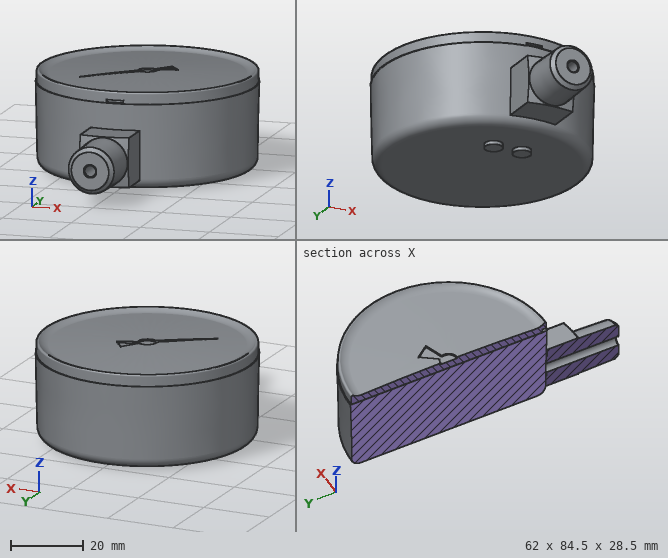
import cadquery as cq
import math

overall_length = 84.5

case_radius = 31.0
case_floor_radius = 30.5
case_height = 24.1
floor_fillet = 2.8

boss_diameter = 5.2
boss_height = 1.1
boss_y = -14.95

window_top = 27.4
window_radius = 30.8
rim_round = 0.5
dial_radius = 27.55
dial_edge_depth = 1.0
dome_rise = 0.7

notch_width = 5.0
notch_height = 0.9
notch_depth = 1.3

pointer_angle = 37
pointer_depth = 0.5
pointer_hub_radius = 2.5
pointer_tip_length = 19.9
pointer_tail_length = 8.1
pointer_root_half_width = 0.8
pointer_tail_half_width = 2.45

fitting_z = 9.6
block_width = 14.1
block_end = 40.7
block_chamfer_angle = 15
neck_radius = 6.85
neck_end = 43.0
spigot_end_radius = 6.6
spigot_length = overall_length - case_radius
spigot_chamfer = 1.2
bore_diameter = 3.2
bore_chamfer = 0.25


def make_drum():
    """Drafted round drum with a rounded floor edge."""
    profile = (
        cq.Workplane("XZ")
        .polyline([(0, 0), (case_floor_radius, 0), (case_radius, case_height), (0, case_height)])
        .close()
    )
    return profile.revolve(360, (0, 0), (0, 1)).faces("<Z").edges().fillet(floor_fillet)


def make_case():
    """Drum with two round bosses under its floor, level with the sides of the fitting block."""
    boss_x = (block_width - boss_diameter) / 2
    bosses = (
        cq.Workplane("XY")
        .pushPoints([(-boss_x, boss_y), (boss_x, boss_y)])
        .circle(boss_diameter / 2)
        .extrude(-boss_height)
    )
    return make_drum().union(bosses)


def make_pointer_cutter():
    """Pointer shape: round hub, needle and flared tail, reaching up to the rim level."""
    dome_top = window_top - dial_edge_depth + dome_rise
    cut_height = window_top - dome_top + pointer_depth
    level = cq.Workplane("XY").workplane(offset=dome_top - pointer_depth)
    blade = level.polyline([
        (-pointer_tip_length, 0),
        (-pointer_hub_radius, pointer_root_half_width),
        (pointer_hub_radius, pointer_root_half_width),
        (pointer_tail_length, pointer_tail_half_width),
        (pointer_tail_length, -pointer_tail_half_width),
        (pointer_hub_radius, -pointer_root_half_width),
        (-pointer_hub_radius, -pointer_root_half_width),
    ]).close().extrude(cut_height)
    hub = level.circle(pointer_hub_radius).extrude(cut_height)
    return blade.union(hub).rotate((0, 0, 0), (0, 0, 1), pointer_angle)


def make_notch_cutter():
    """Pry notch at the foot of the window wall, on the -Y side above the fitting."""
    return (
        cq.Workplane("XY")
        .box(notch_width, 2 * notch_depth, notch_height, centered=(True, True, False))
        .translate((0, -window_radius, case_height))
    )


def level_arc_radius(width, height):
    """Radius of an arc that is level at one end and spans the given width and height."""
    return (width**2 + height**2) / (2 * height)


def make_window():
    """Cap with a domed face, a hollow sweep up to the rounded rim, an engraved pointer and a pry notch."""
    dial_edge_z = window_top - dial_edge_depth
    rim_inner_radius = window_radius - rim_round * (1 + math.sqrt(0.5))
    rim_inner_z = window_top - rim_round * (1 - math.sqrt(0.5))
    sweep_radius = level_arc_radius(rim_inner_radius - dial_radius, rim_inner_z - dial_edge_z)
    dome_radius = level_arc_radius(dial_radius, dome_rise)
    half_angle = math.asin(dial_radius / dome_radius) / 2
    dome_mid = (
        dome_radius * math.sin(half_angle),
        dial_edge_z + dome_rise - dome_radius * (1 - math.cos(half_angle)),
    )
    window = (
        cq.Workplane("XZ")
        .moveTo(0, case_height)
        .lineTo(window_radius, case_height)
        .lineTo(window_radius, window_top - rim_round)
        .threePointArc((window_radius - rim_round, window_top), (rim_inner_radius, rim_inner_z))
        .radiusArc((dial_radius, dial_edge_z), sweep_radius)
        .threePointArc(dome_mid, (0, dial_edge_z + dome_rise))
        .close()
        .revolve(360, (0, 0), (0, 1))
    )
    return window.cut(make_notch_cutter()).cut(make_pointer_cutter())


def revolve_about_fitting_axis(outline):
    """Solid of revolution about the fitting axis; outline points are (radius, distance along -Y)."""
    points = [(radius, -distance) for radius, distance in outline]
    solid = cq.Workplane("XY").polyline(points).close().revolve(360, (0, 0), (0, 1))
    return solid.translate((0, 0, fitting_z))


def make_block():
    """Square block with its outer corners turned off by a shallow cone."""
    block = (
        cq.Workplane("XY")
        .box(block_width, block_end, block_width)
        .translate((0, -block_end / 2, fitting_z))
    )
    turned_radius = block_width
    turned_drop = (turned_radius - neck_radius) * math.tan(math.radians(block_chamfer_angle))
    envelope = revolve_about_fitting_axis([
        (0, 0),
        (turned_radius, 0),
        (turned_radius, block_end - turned_drop),
        (neck_radius, block_end),
        (0, block_end),
    ])
    return block.intersect(envelope)


def make_spigot():
    """Plain neck followed by a slightly tapered, chamfered end."""
    return revolve_about_fitting_axis([
        (0, 0),
        (neck_radius, 0),
        (neck_radius, neck_end),
        (spigot_end_radius, spigot_length - spigot_chamfer),
        (spigot_end_radius - spigot_chamfer, spigot_length),
        (0, spigot_length),
    ])


def make_bore():
    """Through bore with a small chamfer at its mouth."""
    bore_radius = bore_diameter / 2
    return revolve_about_fitting_axis([
        (0, 0),
        (bore_radius, 0),
        (bore_radius, spigot_length - bore_chamfer),
        (bore_radius + bore_chamfer, spigot_length),
        (0, spigot_length),
    ])


def make_fitting():
    """Block and spigot, bored through and shaped at the back to sit against the drum wall."""
    return make_block().union(make_spigot()).cut(make_bore()).cut(make_drum())


case = make_case()
window = make_window()
fitting = make_fitting()

result = cq.Compound.makeCompound([case.val(), window.val(), fitting.val()])